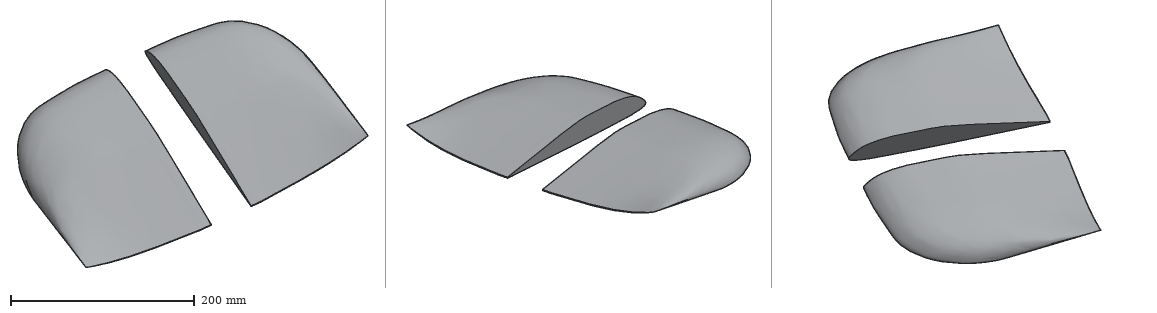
import cadquery as cq
import math

span = 355.0
root_gap = 50.0
root_chord = 231.2
tip_y = span / 2
root_y = root_gap / 2

strip_width = 13.0
strip_y = root_y + strip_width

trailing_sweep = 9.0
leading_sweep = 5.5
corner_y = 103.0
corner_length = 102.3

nose_height = 12.0
nose_drop = 6.7
tail_height = 0.7
tail_rise = 15.3
curl_power = 3.3

thinning_y = 99.5
tip_thickness_ratio = 0.06
station_count = 12

section_shape = [
    (1.0, 0.7), (0.86, 6.7), (0.7, 13.5), (0.5, 21.0), (0.39, 22.0), (0.29, 21.5), (0.19, 20.2),
    (0.1, 16.0), (0.04, 9.2),
    (0.0, 0.0),
    (0.03, -4.5), (0.1, -6.0), (0.2, -6.0), (0.44, -5.0), (0.63, -3.5), (1.0, -0.7),
]


def span_ratio(y):
    """0 at the outer side of the root strip, 1 at the tip."""
    return (y - strip_y) / (tip_y - strip_y)


def leading_edge(y):
    sweep_ratio = min((y - strip_y) / (corner_y - strip_y), 1)
    corner_ratio = max((y - corner_y) / (tip_y - corner_y), 0)
    rounding = corner_length * (1 - math.sqrt(1 - corner_ratio**2))
    return leading_sweep * sweep_ratio**2 + rounding


def trailing_edge(y):
    return root_chord - trailing_sweep * span_ratio(y)


def thickness_ratio(y):
    falloff = max((y - thinning_y) / (tip_y - thinning_y), 0)
    return max(math.sqrt(1 - falloff**2), tip_thickness_ratio)


def section_wire(y):
    """Closed wing section in the plane at the given Y."""
    curl = span_ratio(y) ** curl_power
    nose_x = leading_edge(y)
    chord = trailing_edge(y) - nose_x
    nose_z = nose_height - nose_drop * curl
    tail_z = tail_height + tail_rise * curl
    points = []
    for fraction, height in section_shape:
        chord_z = nose_z + (tail_z - nose_z) * fraction
        points.append(cq.Vector(nose_x + chord * fraction, y, chord_z + thickness_ratio(y) * height))
    parameters = [i / (len(points) - 1) for i in range(len(points))]
    skin = cq.Edge.makeSpline(points, parameters=parameters)
    tail = cq.Edge.makeLine(points[-1], points[0])
    return cq.Wire.assembleEdges([skin, tail])


def root_strip():
    face = cq.Face.makeFromWires(section_wire(strip_y))
    return cq.Solid.extrudeLinear(face, cq.Vector(0, -strip_width, 0))


def outer_panel():
    stations = []
    for i in range(station_count + 1):
        angle = math.pi / 2 * i / station_count
        stations.append(strip_y + (tip_y - strip_y) * math.sin(angle))
    return cq.Solid.makeLoft([section_wire(y) for y in stations])


def fin_half(side):
    """One fin half; side is +1 for the +Y half and -1 for the -Y half."""
    half = cq.Workplane(outer_panel()).union(cq.Workplane(root_strip()))
    return half if side > 0 else half.mirror("XZ")


fin_halves = [fin_half(side).val() for side in (1, -1)]
result = cq.Compound.makeCompound(fin_halves)